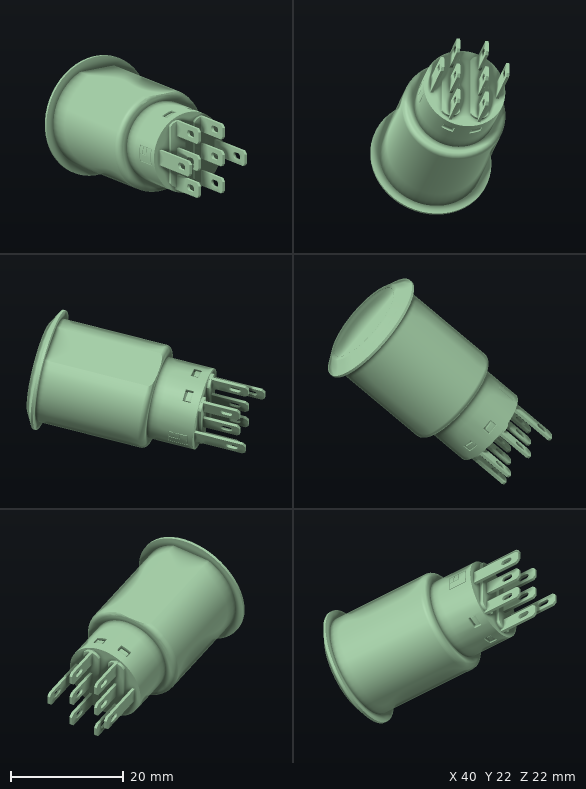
import cadquery as cq
import math


TOTAL_LENGTH = 40.0
FLANGE_DIA = 22.0
FACE_DIA = 17.0
CONE_LENGTH = 1.5
FLANGE_LENGTH = 1.95
BARREL_DIA = 18.92
BARREL_END = 22.1
BARREL_FILLET = 1.0
FLAT_HEIGHT = 8.72

REAR_DIA = 14.9
REAR_END = 30.55

BUTTON_DIA = 15.5
RECESS_DIA = 15.55
BUTTON_DEPTH = FLANGE_LENGTH

WINDOW_START = 27.53
WINDOW_LENGTH = 1.5
WINDOW_WIDTH = 2.05
WINDOW_OFFSET = 2.52
WINDOW_FLOOR_DIA = 13.25
HOOK_TOP_DIA = 14.5
HOOK_WIDTH = 1.55
HOOK_FOOT_GAP = 0.25
HOOK_RAMP_LENGTH = 0.32

PANEL_START = 26.0
PANEL_LENGTH = 3.6
PANEL_HEIGHT = 3.05
PANEL_CELL_LENGTH = 1.0
PANEL_CELL_COUNT = 2
GROOVE_WIDTH = 0.12
GROOVE_DEPTH = 0.2

PAD_WIDTH = 3.2
PAD_THICKNESS = 0.6
PAD_TOP = 6.35
PAD_BOTTOM = -5.9
PAD_END_BULGE = 0.85

TERMINAL_WIDTH = 2.8
TERMINAL_THICKNESS = 0.52
TERMINAL_CHAMFER = 0.55
EYE_LENGTH = 2.15
EYE_HEIGHT = 1.2
EYE_FROM_TIP = 2.52
SHORT_TERMINAL_TIP = 37.95
SHORT_TERMINAL_Y = 2.6
LONG_TERMINAL_Y = 5.95
TERMINAL_PITCH = 5.0


def x_cylinder(diameter, start, end):
    """Cylinder on the X axis between two stations."""
    return cq.Workplane("YZ", origin=(start, 0, 0)).circle(diameter / 2).extrude(end - start)


def box_between(x_range, y_range, z_range):
    """Box given by its limits along each axis."""
    size = [limits[1] - limits[0] for limits in (x_range, y_range, z_range)]
    corner = (x_range[0], y_range[0], z_range[0])
    return cq.Workplane("XY").box(*size, centered=False).translate(corner)


def make_flange():
    """Bezel with a conical front and a thin cylindrical rim."""
    profile = [
        (0, 0),
        (0, FACE_DIA / 2),
        (CONE_LENGTH, FLANGE_DIA / 2),
        (FLANGE_LENGTH, FLANGE_DIA / 2),
        (FLANGE_LENGTH, 0),
    ]
    return cq.Workplane("XY").polyline(profile).close().revolve(360, (0, 0, 0), (1, 0, 0))


def make_barrel():
    """Barrel with a rounded rear edge and one flat along its top."""
    barrel = x_cylinder(BARREL_DIA, FLANGE_LENGTH, BARREL_END).faces(">X").edges().fillet(BARREL_FILLET)
    above_flat = box_between(
        (FLANGE_LENGTH, BARREL_END),
        (-BARREL_DIA / 2, BARREL_DIA / 2),
        (FLAT_HEIGHT, BARREL_DIA),
    )
    return barrel.cut(above_flat)


def make_window_cut(side_y, side_z):
    """Material removed for one snap window, leaving the ramped hook inside it."""
    center_y = side_y * WINDOW_OFFSET
    window_end = WINDOW_START + WINDOW_LENGTH
    half_width = WINDOW_WIDTH / 2
    z_range = (0, REAR_DIA) if side_z > 0 else (-REAR_DIA, 0)
    opening = box_between(
        (WINDOW_START, window_end),
        (center_y - half_width, center_y + half_width),
        z_range,
    )
    opening = opening.cut(x_cylinder(WINDOW_FLOOR_DIA, WINDOW_START, window_end))

    hook_foot = WINDOW_START + HOOK_FOOT_GAP
    floor_radius = WINDOW_FLOOR_DIA / 2
    ramp_foot_height = math.sqrt(floor_radius**2 - (WINDOW_OFFSET + HOOK_WIDTH / 2) ** 2)
    hook_profile = [
        (hook_foot, 0),
        (hook_foot, side_z * ramp_foot_height),
        (hook_foot + HOOK_RAMP_LENGTH, side_z * HOOK_TOP_DIA / 2),
        (window_end, side_z * HOOK_TOP_DIA / 2),
        (window_end, 0),
    ]
    hook = (
        cq.Workplane("XZ", origin=(0, center_y, 0))
        .polyline(hook_profile)
        .close()
        .extrude(HOOK_WIDTH / 2, both=True)
        .intersect(x_cylinder(HOOK_TOP_DIA, WINDOW_START, window_end))
    )
    return opening.cut(hook)


def make_panel_grooves():
    """Shallow grooves framing the side panel and the two cells in its upper corner."""
    panel_end = PANEL_START + PANEL_LENGTH
    half_height = PANEL_HEIGHT / 2
    cells_end = PANEL_START + PANEL_CELL_COUNT * PANEL_CELL_LENGTH + GROOVE_WIDTH
    depth_range = (-REAR_DIA, 0)

    frame = box_between((PANEL_START, panel_end), depth_range, (-half_height, half_height)).cut(
        box_between(
            (PANEL_START + GROOVE_WIDTH, panel_end - GROOVE_WIDTH),
            depth_range,
            (-half_height + GROOVE_WIDTH, half_height - GROOVE_WIDTH),
        )
    )
    grooves = frame.union(
        box_between((PANEL_START, cells_end), depth_range, (-GROOVE_WIDTH / 2, GROOVE_WIDTH / 2))
    )
    for cell in range(1, PANEL_CELL_COUNT + 1):
        wall_start = PANEL_START + cell * PANEL_CELL_LENGTH
        grooves = grooves.union(
            box_between((wall_start, wall_start + GROOVE_WIDTH), depth_range, (0, half_height))
        )
    return grooves.cut(x_cylinder(REAR_DIA - 2 * GROOVE_DEPTH, PANEL_START, panel_end))


def make_rear_cylinder():
    """Rear cylinder with its snap windows and side panel."""
    rear = x_cylinder(REAR_DIA, BARREL_END, REAR_END)
    for side_y in (-1, 1):
        for side_z in (-1, 1):
            rear = rear.cut(make_window_cut(side_y, side_z))
    return rear.cut(make_panel_grooves())


def make_pad(center_y):
    """Raised pad with bulging ends around one row of short terminals."""
    left = center_y - PAD_WIDTH / 2
    right = center_y + PAD_WIDTH / 2
    shoulder_top = PAD_TOP - PAD_END_BULGE
    shoulder_bottom = PAD_BOTTOM + PAD_END_BULGE
    return (
        cq.Workplane("YZ", origin=(REAR_END, 0, 0))
        .moveTo(left, shoulder_bottom)
        .threePointArc((center_y, PAD_BOTTOM), (right, shoulder_bottom))
        .lineTo(right, shoulder_top)
        .threePointArc((center_y, PAD_TOP), (left, shoulder_top))
        .close()
        .extrude(PAD_THICKNESS)
    )


def make_terminal(tip, center_y, center_z):
    """Flat solder tab with chamfered tip corners and an oblong eye."""
    length = tip - REAR_END
    tab = (
        cq.Workplane("XY")
        .box(length, TERMINAL_THICKNESS, TERMINAL_WIDTH, centered=(False, True, True))
        .faces(">X")
        .edges("|Y")
        .chamfer(TERMINAL_CHAMFER)
    )
    eye = (
        cq.Workplane("XZ")
        .center(length - EYE_FROM_TIP, 0)
        .slot2D(EYE_LENGTH, EYE_HEIGHT)
        .extrude(TERMINAL_THICKNESS, both=True)
    )
    return tab.cut(eye).translate((REAR_END, center_y, center_z))


def make_housing():
    """Bezel, barrel, rear cylinder, pads and terminals as one solid."""
    housing = make_flange().union(make_barrel()).union(make_rear_cylinder())
    for side_y in (-1, 1):
        row_y = side_y * SHORT_TERMINAL_Y
        housing = housing.union(make_pad(row_y))
        for row in (-1, 0, 1):
            housing = housing.union(make_terminal(SHORT_TERMINAL_TIP, row_y, row * TERMINAL_PITCH))
        housing = housing.union(make_terminal(TOTAL_LENGTH, side_y * LONG_TERMINAL_Y, 0))
    return housing.cut(x_cylinder(RECESS_DIA, 0, BUTTON_DEPTH))


def make_button():
    """Button disc, flush with the bezel face and seated on the recess floor."""
    return x_cylinder(BUTTON_DIA, 0, BUTTON_DEPTH)


housing = make_housing()
button = make_button()
result = cq.Compound.makeCompound([housing.solids().val(), button.val()])